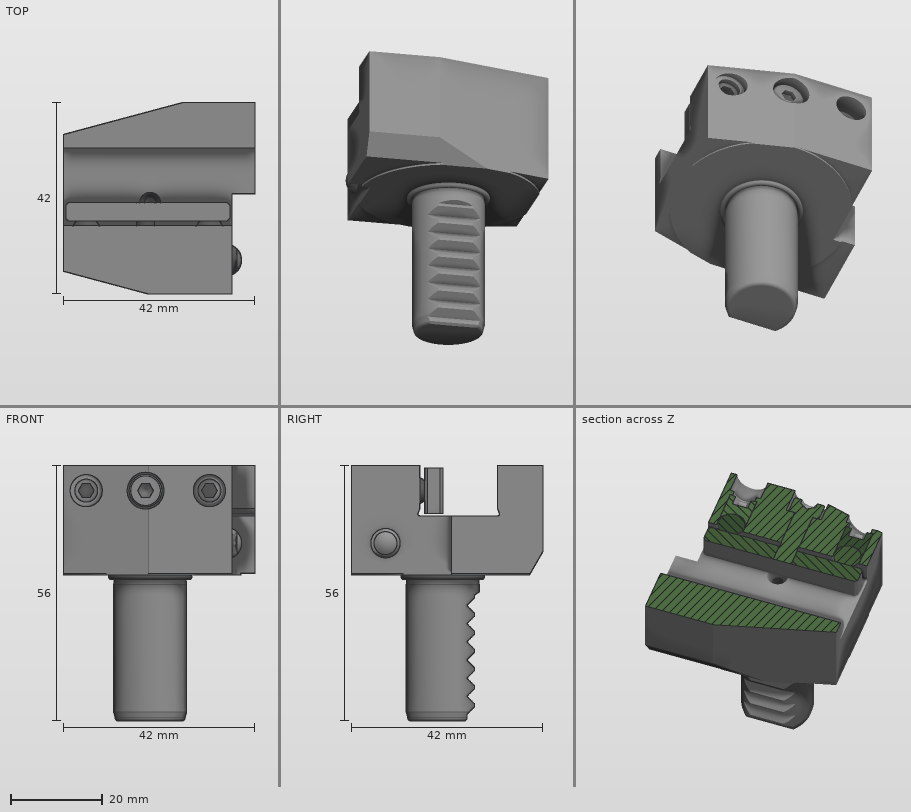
import cadquery as cq
import math


side_left = -19.0
side_right = 23.0
side_front = -20.0
side_back = 22.0
block_top = 24.0
taper_angle = 15
taper_corner = 15.0
step_x = 18.0
step_y = 1.95
back_bevel_run = 3.0
back_bevel_angle = 60
flange_radius = -side_front
flange_relief = 0.4

slot_back = 12.0
slot_front = -5.0
slot_floor = 13.0
undercut_depth = 0.45
undercut_height = 1.55
undercut_radius = 0.45

coolant_radius = 1.25
coolant_mouth_radius = 2.3
coolant_mouth_depth = 1.85
coolant_depth = 5.6
drill_point_angle = 118

shank_radius = 8.0
shank_end = -32.0
neck_radius = 7.8
neck_end = -2.0
end_taper_length = 1.25
end_taper = end_taper_length * math.tan(math.radians(taper_angle))
end_round = 0.8
tooth_tip = 7.0
tooth_root = 5.3
tooth_pitch = 4.0
tooth_count = 6
first_root = -6.65
tooth_start = -4.35
tooth_start_angle = 35
tooth_flat = 0.55
tooth_height = tooth_tip - tooth_root
root_flat = tooth_pitch - tooth_flat - 2 * tooth_height
toothed_end_bevel = 0.5

ring_section_radius = 0.6
ring_outer_radius = 9.1
ring_z = -0.4

gap_to_wall = 1.0
bar_length = 35.95
bar_thickness = 4.05
bar_height = 10.0
bar_corner = 0.6
bar_center_x = (side_left + step_x) / 2
bar_front = slot_front + gap_to_wall
bar_back = bar_front + bar_thickness
bar_bottom = (slot_floor + block_top - bar_height) / 2

screw_z = bar_bottom + bar_height / 2
hex_width = 3.0
hex_corners = hex_width / math.cos(math.radians(30))

set_screw_spacing = 27.0
set_screw_radius = 3.0
set_screw_length = 6.5
set_screw_socket_depth = 2.25
set_screw_neck_radius = 2.5
set_screw_neck_length = 1.25
set_screw_access_radius = 3.5

thrust_ball_radius = set_screw_radius
thrust_ball_inset = 1.05
thrust_ball_y = slot_front - thrust_ball_inset
set_screw_seat = thrust_ball_y - thrust_ball_radius / 2
set_screw_face = set_screw_seat - set_screw_length

pull_screw_x = -1.0
pull_screw_radius = 2.0
pull_head_radius = 3.6
pull_head_length = 4.0
pull_head_chamfer = 0.35
pull_head_face = -18.1
pull_head_hole_radius = 4.05
pull_screw_socket_depth = 1.1

spray_ball_radius = 3.5
spray_ball_proud = 1.0
spray_ball_inset = 1.45
spray_ball_center = (step_x - spray_ball_inset, -12.55, 7.0)


def cylinder_y(x, z, radius, start, end):
    """Cylinder parallel to Y between two Y places."""
    return cq.Workplane("XY").add(
        cq.Solid.makeCylinder(radius, end - start, cq.Vector(x, start, z), cq.Vector(0, 1, 0))
    )


def hex_socket(x, z, face, depth):
    """Hexagonal socket going in along +Y from a screw face."""
    plane = cq.Plane(origin=(x, face, z), xDir=(1, 0, 0), normal=(0, 1, 0))
    return cq.Workplane(plane).polygon(6, hex_corners).extrude(depth)


def drill_point(radius):
    """Depth of the cone that a drill of this radius leaves."""
    return radius / math.tan(math.radians(drill_point_angle / 2))


def make_block():
    tangent = math.tan(math.radians(taper_angle))
    back_taper = (side_back - taper_corner) / tangent
    front_taper = (-side_front - taper_corner) / tangent
    block = (
        cq.Workplane("XY")
        .polyline(
            [
                (side_left, -taper_corner),
                (side_left + front_taper, side_front),
                (step_x, side_front),
                (step_x, step_y),
                (side_right, step_y),
                (side_right, side_back),
                (side_left + back_taper, side_back),
                (side_left, taper_corner),
            ]
        )
        .close()
        .extrude(block_top)
    )
    flange = cq.Workplane("XY").circle(flange_radius).extrude(flange_relief)
    relief = cq.Workplane("XY").rect(4 * side_right, 4 * side_right).extrude(flange_relief).cut(flange)
    bevel_height = back_bevel_run * math.tan(math.radians(back_bevel_angle))
    bevel = (
        cq.Workplane("YZ", origin=(side_left, 0, 0))
        .polyline([(side_back - back_bevel_run, 0), (side_back, 0), (side_back, bevel_height)])
        .close()
        .extrude(side_right - side_left)
    )
    return block.cut(relief).cut(bevel)


def make_slot():
    back = slot_back + undercut_depth
    front = slot_front - undercut_depth
    undercut_top = slot_floor + undercut_height
    arc_top = slot_floor + undercut_radius
    arc_shift = undercut_radius * (1 - math.sqrt(0.5))
    return (
        cq.Workplane("YZ", origin=(side_left, 0, 0))
        .moveTo(slot_front, block_top)
        .lineTo(slot_front, undercut_top)
        .lineTo(front, arc_top)
        .threePointArc((front + arc_shift, slot_floor + arc_shift), (front + undercut_radius, slot_floor))
        .lineTo(back - undercut_radius, slot_floor)
        .threePointArc((back - arc_shift, slot_floor + arc_shift), (back, arc_top))
        .lineTo(slot_back, undercut_top)
        .lineTo(slot_back, block_top)
        .close()
        .extrude(side_right - side_left)
    )


def make_coolant_hole():
    bottom = slot_floor - coolant_depth
    return (
        cq.Workplane("XZ")
        .polyline(
            [
                (0, slot_floor),
                (coolant_mouth_radius, slot_floor),
                (coolant_radius, slot_floor - coolant_mouth_depth),
                (coolant_radius, bottom),
                (0, bottom - drill_point(coolant_radius)),
            ]
        )
        .close()
        .revolve(360, (0, 0, 0), (0, 1, 0))
    )


def make_shank():
    taper_end = shank_end + end_round
    taper_radius = shank_radius - end_taper
    arc_shift = end_round * (1 - math.sqrt(0.5))
    shank = (
        cq.Workplane("XZ")
        .moveTo(0, flange_relief)
        .lineTo(neck_radius, flange_relief)
        .lineTo(neck_radius, ring_z)
        .lineTo(shank_radius, neck_end)
        .lineTo(shank_radius, taper_end + end_taper_length)
        .lineTo(taper_radius, taper_end)
        .threePointArc(
            (taper_radius - arc_shift, shank_end + arc_shift), (taper_radius - end_round, shank_end)
        )
        .lineTo(0, shank_end)
        .close()
        .revolve(360, (0, 0, 0), (0, 1, 0))
    )
    return shank.cut(make_tooth_gaps())


def make_tooth_gaps():
    """Everything removed behind the tooth outline, straight across the shank."""
    outside = 2 * shank_radius
    run_out = (outside - tooth_tip) * math.tan(math.radians(tooth_start_angle))
    outline = [
        (outside, tooth_start + run_out),
        (tooth_tip, tooth_start),
    ]
    for index in range(tooth_count):
        root = first_root - index * tooth_pitch
        outline += [
            (tooth_tip, root + root_flat / 2 + tooth_height),
            (tooth_root, root + root_flat / 2),
            (tooth_root, root - root_flat / 2),
            (tooth_tip, root - root_flat / 2 - tooth_height),
        ]
    last_tip = first_root - tooth_count * tooth_pitch + root_flat / 2 + tooth_height
    outline += [
        (tooth_tip, last_tip),
        (tooth_root, last_tip - tooth_height),
        (tooth_root, shank_end + toothed_end_bevel),
        (tooth_root - toothed_end_bevel, shank_end),
        (outside, shank_end),
    ]
    return cq.Workplane("YZ").polyline(outline).close().extrude(shank_radius, both=True)


def make_seal_ring():
    center_radius = ring_outer_radius - ring_section_radius
    ring = cq.Solid.makeTorus(center_radius, ring_section_radius, cq.Vector(0, 0, ring_z), cq.Vector(0, 0, 1))
    return cq.Workplane(ring)


def make_thrust_ball(x):
    """Ball in the end of a set screw, with a flat that bears on the clamp bar."""
    ball = cq.Workplane("XY").sphere(thrust_ball_radius).translate((x, thrust_ball_y, screw_z))
    beyond_flat = cylinder_y(x, screw_z, thrust_ball_radius, bar_front, bar_back)
    return ball.cut(beyond_flat)


def make_set_screw(x):
    """Set screw with a hexagonal socket in one end and a dished seat for its ball in the other."""
    body = cylinder_y(x, screw_z, set_screw_radius, set_screw_face, set_screw_seat)
    socket = hex_socket(x, screw_z, set_screw_face, set_screw_socket_depth)
    return body.cut(socket).cut(make_thrust_ball(x))


def make_set_screw_hole(x):
    """Thread hole, narrower neck behind the screw and wide access bore."""
    neck_start = set_screw_face - set_screw_neck_length
    thread = cylinder_y(x, screw_z, set_screw_radius, set_screw_face, slot_front)
    neck = cylinder_y(x, screw_z, set_screw_neck_radius, neck_start, set_screw_face)
    access = cylinder_y(x, screw_z, set_screw_access_radius, side_front, neck_start)
    return thread.union(neck).union(access)


def make_pull_screw():
    seat = pull_head_face + pull_head_length
    head = cylinder_y(pull_screw_x, screw_z, pull_head_radius, pull_head_face, seat)
    head = head.faces("<Y").chamfer(pull_head_chamfer)
    shaft = cylinder_y(pull_screw_x, screw_z, pull_screw_radius, seat, bar_back)
    socket_radius = hex_corners / 2
    socket_bottom = pull_head_face + pull_screw_socket_depth
    point_depth = drill_point(socket_radius)
    point = cq.Solid.makeCone(
        socket_radius, 0, point_depth, cq.Vector(pull_screw_x, socket_bottom, screw_z), cq.Vector(0, 1, 0)
    )
    drilled = cylinder_y(pull_screw_x, screw_z, socket_radius, pull_head_face, socket_bottom)
    drilled = drilled.union(cq.Workplane(point))
    hexagon = hex_socket(pull_screw_x, screw_z, pull_head_face, pull_screw_socket_depth + point_depth)
    return head.union(shaft).cut(hexagon.intersect(drilled))


def make_pull_screw_hole():
    seat = pull_head_face + pull_head_length
    bore = cylinder_y(pull_screw_x, screw_z, pull_screw_radius, seat, slot_front)
    head_bore = cylinder_y(pull_screw_x, screw_z, pull_head_hole_radius, side_front, seat)
    return bore.union(head_bore)


def make_clamp_bar():
    bar = (
        cq.Workplane("XY")
        .box(bar_length, bar_thickness, bar_height)
        .edges("|Z")
        .chamfer(bar_corner)
        .translate((bar_center_x, (bar_front + bar_back) / 2, screw_z))
    )
    return bar.cut(cylinder_y(pull_screw_x, screw_z, pull_screw_radius, bar_front, bar_back))


def make_spray_ball():
    """Ball with its outer end cut flat."""
    flat_x = step_x + spray_ball_proud
    ball = cq.Workplane("XY").sphere(spray_ball_radius).translate(spray_ball_center)
    beyond_flat = (
        cq.Workplane("YZ", origin=(flat_x, *spray_ball_center[1:]))
        .circle(spray_ball_radius)
        .extrude(spray_ball_radius)
    )
    return ball.cut(beyond_flat)


seal_ring = make_seal_ring()
spray_ball = make_spray_ball()
pull_screw = make_pull_screw()
clamp_bar = make_clamp_bar()
set_screw_places = [bar_center_x + side * set_screw_spacing / 2 for side in (-1, 1)]
set_screws = [make_set_screw(x) for x in set_screw_places]
thrust_balls = [make_thrust_ball(x) for x in set_screw_places]

housing = make_block().cut(make_slot()).cut(make_coolant_hole()).union(make_shank())
housing = housing.cut(make_pull_screw_hole()).cut(seal_ring).cut(spray_ball)
for x in set_screw_places:
    housing = housing.cut(make_set_screw_hole(x))

result = cq.Compound.makeCompound(
    [
        housing.val(),
        clamp_bar.val(),
        *[screw.val() for screw in set_screws],
        *[ball.val() for ball in thrust_balls],
        pull_screw.val(),
        spray_ball.val(),
        seal_ring.val(),
    ]
)